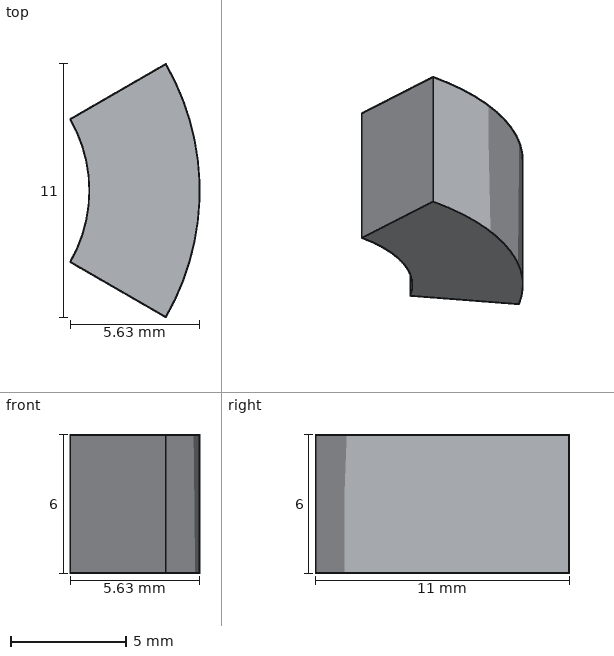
import cadquery as cq
import math

outer_radius = 11.0
inner_radius = 6.2
height = 6.0
sweep_angle = 60.0

half_angle = sweep_angle / 2


def ring_point(radius, angle):
    """Point at the given radius and angle (degrees from +X) about the ring axis."""
    angle_rad = math.radians(angle)
    return (radius * math.cos(angle_rad), radius * math.sin(angle_rad))


def ring_segment():
    """Sector between the two concentric arcs, closed by radial end faces."""
    return (
        cq.Workplane("XY")
        .moveTo(*ring_point(inner_radius, -half_angle))
        .lineTo(*ring_point(outer_radius, -half_angle))
        .threePointArc(ring_point(outer_radius, 0), ring_point(outer_radius, half_angle))
        .lineTo(*ring_point(inner_radius, half_angle))
        .threePointArc(ring_point(inner_radius, 0), ring_point(inner_radius, -half_angle))
        .close()
        .extrude(height)
    )


result = ring_segment()